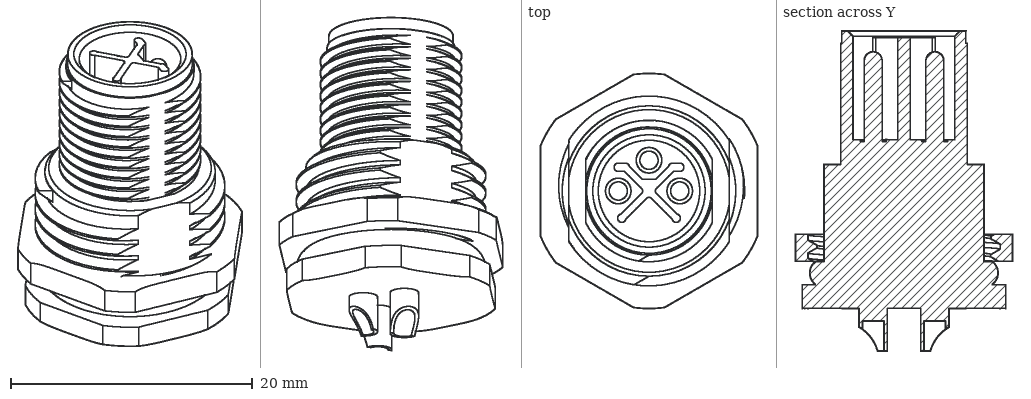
import cadquery as cq
import math

TOTAL_HEIGHT = 26.5
COLLAR_BASE = 25.5
SHOULDER = 15.45
NUT_TOP = 9.67
NUT_BASE = 7.42
FLANGE_TOP = 5.5
FLANGE_BASE = 3.52

COLLAR_DIAMETER = 10.3
SHOULDER_CHAMFER = 0.32
FRONT_CORE_DIAMETER = 10.6
FRONT_THREAD_DIAMETER = 11.7
FRONT_FLAT_WIDTH = 10.5
REAR_CORE_DIAMETER = 14.1
REAR_THREAD_DIAMETER = 15.71
REAR_FLAT_WIDTH = 13.28

FRONT_TURNS = 10
FRONT_THREAD_RISE = 10.0
FRONT_PITCH = FRONT_THREAD_RISE / FRONT_TURNS
FRONT_THREAD_END = 24.85
FRONT_CREST = 0.13
REAR_TURNS = 4
REAR_PITCH = 1.5 * FRONT_PITCH
REAR_THREAD_END = 14.52
REAR_CREST = 0.19
FLANK_SLOPE = math.tan(math.radians(30))
END_TAPER_SLOPE = math.tan(math.radians(30))
THREAD_OVERLAP = 0.15

NUT_FLATS = 18.0
NUT_CORNERS = 19.48
NUT_FACE_DIAMETER = 18.28
NUT_ROUNDING_HEIGHT = 0.26
FLANGE_FLATS = 16.85
FLANGE_CORNERS = 18.0
FLANGE_FACE_DIAMETER = 16.85
FLANGE_ROUNDING_HEIGHT = 0.13

NUT_BORE_DIAMETER = 14.35
NUT_THREAD_DIAMETER = 15.85
NUT_THREAD_TURNS = 3
NUT_THREAD_END = 10.52
NUT_THREAD_CREST = 0.42

SEAL_OUTER_DIAMETER = 15.6
SEAL_SECTION_DIAMETER = 2.35

BORE_DIAMETER = 8.4
BORE_MOUTH_DIAMETER = 9.3
BORE_FLOOR = 17.5

CROSS_TOP = 25.95
CROSS_ARM_WIDTH = 0.58
CROSS_TIP_WIDTH = 0.7
CROSS_LOWER_REACH = 2.25
CROSS_BEND = 1.95
CROSS_UPPER_REACH = 2.55
CROSS_WEB_EDGE = 0.98
CROSS_CROTCH_RADIUS = 0.26

CONTACT_OFFSET = 2.55
CONTACT_TOP = 24.78
RAISED_CONTACT_LIFT = 0.5
PIN_DIAMETER = 1.5
PIN_RECESS_DIAMETER = 2.12
PIN_RECESS_DEPTH = 0.13
TAIL_DIAMETER = 2.35
CUP_DIAMETER = 1.75
CUP_DEPTH = 2.5
SCOOP_HEIGHT = 2.0
SCOOP_DEPTH = 1.55
SCOOP_RADIUS = 3.35


def disc(diameter, bottom, top):
    """Upright cylinder on the Z axis."""
    return cq.Workplane("XY").workplane(offset=bottom).circle(diameter / 2).extrude(top - bottom)


def thread_ridge(core_diameter, thread_diameter, pitch, turns, end_z, crest):
    """Helical ridge whose last turn runs out on the -Y side at end_z."""
    core_radius = core_diameter / 2
    height = thread_diameter / 2 - core_radius
    inner_radius = core_radius - THREAD_OVERLAP
    half_crest = crest / 2
    half_base = half_crest + (height + THREAD_OVERLAP) * FLANK_SLOPE
    rise = turns * pitch
    start_z = end_z - rise

    section = [
        (inner_radius, -half_base),
        (core_radius + height, -half_crest),
        (core_radius + height, half_crest),
        (inner_radius, half_base),
    ]
    helices = [
        cq.Wire.makeHelix(pitch, rise, radius, cq.Vector(0, 0, start_z + dz))
        for radius, dz in section
    ]
    faces = [cq.Face.makeRuledSurface(helices[i - 1], helices[i]) for i in range(len(helices))]
    for z in (start_z, end_z):
        corners = [cq.Vector(radius, 0, z + dz) for radius, dz in section]
        faces.append(cq.Face.makeFromWires(cq.Wire.makePolygon(corners, close=True)))
    solid = cq.Solid.makeSolid(cq.Shell.makeShell(faces))
    ridge = cq.Workplane("XY").newObject([solid]).rotate((0, 0, 0), (0, 0, 1), -90)

    reach = 2 * height
    run_out = (
        cq.Workplane("XY")
        .workplane(offset=end_z - pitch / 2)
        .polyline([
            (0, -core_radius),
            (reach, -core_radius),
            (reach, -core_radius - reach),
            (-reach / END_TAPER_SLOPE, -core_radius - reach),
        ])
        .close()
        .extrude(pitch)
    )
    return ridge.cut(run_out)


def flattened(body, width):
    """Trim a body to the given width along X."""
    slab = cq.Workplane("XY").box(width, 2 * TOTAL_HEIGHT, 2 * TOTAL_HEIGHT)
    return body.intersect(slab)


def front_thread():
    core = disc(FRONT_CORE_DIAMETER, NUT_TOP, COLLAR_BASE)
    ridge = thread_ridge(
        FRONT_CORE_DIAMETER, FRONT_THREAD_DIAMETER, FRONT_PITCH, FRONT_TURNS, FRONT_THREAD_END, FRONT_CREST
    )
    return flattened(core.union(ridge), FRONT_FLAT_WIDTH)


def rear_thread():
    core = disc(REAR_CORE_DIAMETER, NUT_BASE, SHOULDER).faces(">Z").chamfer(SHOULDER_CHAMFER)
    ridge = thread_ridge(
        REAR_CORE_DIAMETER, REAR_THREAD_DIAMETER, REAR_PITCH, REAR_TURNS, REAR_THREAD_END, REAR_CREST
    )
    return flattened(core.union(ridge), REAR_FLAT_WIDTH)


def rounded_hexagon(flats, corners, face_diameter, rounding_height, plain_z, rounded_z):
    """Hexagon with flats facing +X and -X, turned corners and one rounded-over rim."""
    toward_middle = math.copysign(rounding_height, plain_z - rounded_z)
    hexagon = (
        cq.Workplane("XY")
        .workplane(offset=min(plain_z, rounded_z))
        .polygon(6, flats / math.cos(math.radians(30)))
        .extrude(abs(rounded_z - plain_z))
        .rotate((0, 0, 0), (0, 0, 1), 30)
    )
    turned_blank = (
        cq.Workplane("XZ")
        .moveTo(0, rounded_z)
        .lineTo(face_diameter / 2, rounded_z)
        .tangentArcPoint((corners / 2, rounded_z + toward_middle), relative=False)
        .lineTo(corners / 2, plain_z)
        .lineTo(0, plain_z)
        .close()
        .revolve(360, (0, 0, 0), (0, 1, 0))
    )
    return hexagon.intersect(turned_blank)


def nut():
    hexagon = rounded_hexagon(
        NUT_FLATS, NUT_CORNERS, NUT_FACE_DIAMETER, NUT_ROUNDING_HEIGHT, NUT_BASE, NUT_TOP
    )
    groove = thread_ridge(
        NUT_BORE_DIAMETER, NUT_THREAD_DIAMETER, REAR_PITCH, NUT_THREAD_TURNS, NUT_THREAD_END, NUT_THREAD_CREST
    )
    bore = disc(NUT_BORE_DIAMETER, NUT_BASE, NUT_TOP)
    filled = flattened(hexagon, REAR_FLAT_WIDTH)
    return hexagon.cut(bore).cut(groove).union(filled)


def flange():
    return rounded_hexagon(
        FLANGE_FLATS, FLANGE_CORNERS, FLANGE_FACE_DIAMETER, FLANGE_ROUNDING_HEIGHT, FLANGE_TOP, FLANGE_BASE
    )


def seal():
    """Sealing ring filled to the axis, its round section cut flat by its neighbours."""
    half_height = (NUT_BASE - FLANGE_TOP) / 2
    middle_z = FLANGE_TOP + half_height
    section_radius = SEAL_SECTION_DIAMETER / 2
    section_center = SEAL_OUTER_DIAMETER / 2 - section_radius
    edge_radius = section_center + math.sqrt(section_radius**2 - half_height**2)
    return (
        cq.Workplane("XZ")
        .moveTo(0, FLANGE_TOP)
        .lineTo(edge_radius, FLANGE_TOP)
        .threePointArc((SEAL_OUTER_DIAMETER / 2, middle_z), (edge_radius, NUT_BASE))
        .lineTo(0, NUT_BASE)
        .close()
        .revolve(360, (0, 0, 0), (0, 1, 0))
    )


def socket_bore():
    mouth_depth = (BORE_MOUTH_DIAMETER - BORE_DIAMETER) / 2
    return (
        cq.Workplane("XZ")
        .polyline([
            (0, BORE_FLOOR),
            (BORE_DIAMETER / 2, BORE_FLOOR),
            (BORE_DIAMETER / 2, TOTAL_HEIGHT - mouth_depth),
            (BORE_MOUTH_DIAMETER / 2, TOTAL_HEIGHT),
            (0, TOTAL_HEIGHT),
        ])
        .close()
        .revolve(360, (0, 0, 0), (0, 1, 0))
    )


def shield_cross():
    """X-shaped wall: straight lower arms, upper arms bent outward, web between the upper arms."""
    height = CROSS_TOP - BORE_FLOOR
    floor = cq.Workplane("XY").workplane(offset=BORE_FLOOR)
    diagonal = math.sqrt(2)
    edge_offset = CROSS_ARM_WIDTH / diagonal

    bar_length = diagonal * (CROSS_LOWER_REACH + CROSS_BEND)
    bar_middle = (CROSS_BEND - CROSS_LOWER_REACH) / 2
    cross = (
        floor.center(bar_middle, bar_middle)
        .transformed(rotate=(0, 0, 45))
        .rect(bar_length, CROSS_ARM_WIDTH)
        .extrude(height)
    )
    cross = cross.union(cross.mirror("YZ"))
    crotches = cq.selectors.BoxSelector(
        (-2 * edge_offset, -2 * edge_offset, BORE_FLOOR),
        (2 * edge_offset, edge_offset / 2, CROSS_TOP),
    )
    cross = cross.edges("|Z").edges(crotches).fillet(CROSS_CROTCH_RADIUS)

    web_half_width = CROSS_WEB_EDGE - edge_offset
    web = (
        floor.polyline([
            (0, 0),
            (web_half_width, CROSS_WEB_EDGE),
            (-web_half_width, CROSS_WEB_EDGE),
        ])
        .close()
        .extrude(height)
    )
    cross = cross.union(web)

    tip_span = CROSS_UPPER_REACH - CROSS_BEND
    tip_middle = CROSS_BEND + tip_span / 2
    for side in (-1, 1):
        lower_tip = (
            floor.center(side * CROSS_LOWER_REACH, -CROSS_LOWER_REACH)
            .circle(CROSS_TIP_WIDTH / 2)
            .extrude(height)
        )
        upper_tip = (
            floor.center(side * tip_middle, CROSS_BEND)
            .slot2D(tip_span + CROSS_TIP_WIDTH, CROSS_TIP_WIDTH)
            .extrude(height)
        )
        cross = cross.union(lower_tip).union(upper_tip)
    return cross


def contact():
    """Contact on the +X side: domed pin above, scooped solder cup below."""
    pin_radius = PIN_DIAMETER / 2
    tail_radius = TAIL_DIAMETER / 2
    dome_base = CONTACT_TOP - pin_radius
    dome = cq.Workplane("XY").sphere(pin_radius).translate((0, 0, dome_base))
    pin = disc(PIN_DIAMETER, FLANGE_BASE, dome_base).union(dome)
    tail = disc(TAIL_DIAMETER, 0, FLANGE_TOP)
    cup = disc(CUP_DIAMETER, 0, CUP_DEPTH)
    scoop = (
        cq.Workplane("XZ")
        .moveTo(tail_radius - SCOOP_DEPTH, 0)
        .radiusArc((tail_radius, SCOOP_HEIGHT), SCOOP_RADIUS)
        .lineTo(tail_radius, 0)
        .close()
        .extrude(tail_radius, both=True)
    )
    return pin.union(tail).cut(cup).cut(scoop).translate((CONTACT_OFFSET, 0, 0))


def pin_recess():
    return disc(PIN_RECESS_DIAMETER, BORE_FLOOR - PIN_RECESS_DEPTH, BORE_FLOOR).translate((CONTACT_OFFSET, 0, 0))


def around_axis(part, angle, lift):
    return part.rotate((0, 0, 0), (0, 0, 1), angle).translate((0, 0, lift))


CONTACT_PLACES = ((0, 0), (90, RAISED_CONTACT_LIFT), (180, 0))

hollow = socket_bore()
for angle, _ in CONTACT_PLACES:
    hollow = hollow.union(around_axis(pin_recess(), angle, 0))
barrel = front_thread().union(disc(COLLAR_DIAMETER, COLLAR_BASE, TOTAL_HEIGHT)).cut(hollow)

inner_parts = shield_cross()
for angle, lift in CONTACT_PLACES:
    inner_parts = inner_parts.union(around_axis(contact(), angle, lift))

base = flange().union(seal()).union(nut()).union(rear_thread())
result = base.union(barrel).union(inner_parts)